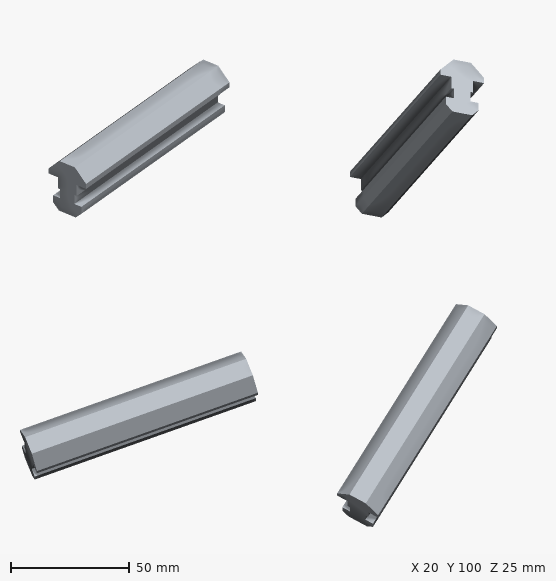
import cadquery as cq

length = 100.0
width = 20.0
height = 25.0

head_flat_width = 8.0
head_slope_drop = 6.0
head_depth = 8.5

neck_width = 10.0
neck_depth = 5.5
web_width = 7.5

foot_width = 15.0
foot_depth = 6.5
foot_chamfer_width = 3.0
foot_chamfer_height = 3.0

head_bottom = height - head_depth
neck_bottom = head_bottom - neck_depth


def half_outline():
    """Right half of the cross-section as (x, z) points, from bottom to top."""
    return [
        (foot_width / 2 - foot_chamfer_width, 0),
        (foot_width / 2, foot_chamfer_height),
        (foot_width / 2, foot_depth),
        (web_width / 2, foot_depth),
        (web_width / 2, neck_bottom),
        (neck_width / 2, neck_bottom),
        (neck_width / 2, head_bottom),
        (width / 2, head_bottom),
        (width / 2, height - head_slope_drop),
        (head_flat_width / 2, height),
    ]


def make_bar():
    """Symmetric cross-section extruded along Y, with its front end at y = 0."""
    right_side = half_outline()
    left_side = [(-x, z) for x, z in reversed(right_side)]
    return cq.Workplane("XZ").polyline(right_side + left_side).close().extrude(-length)


result = make_bar()